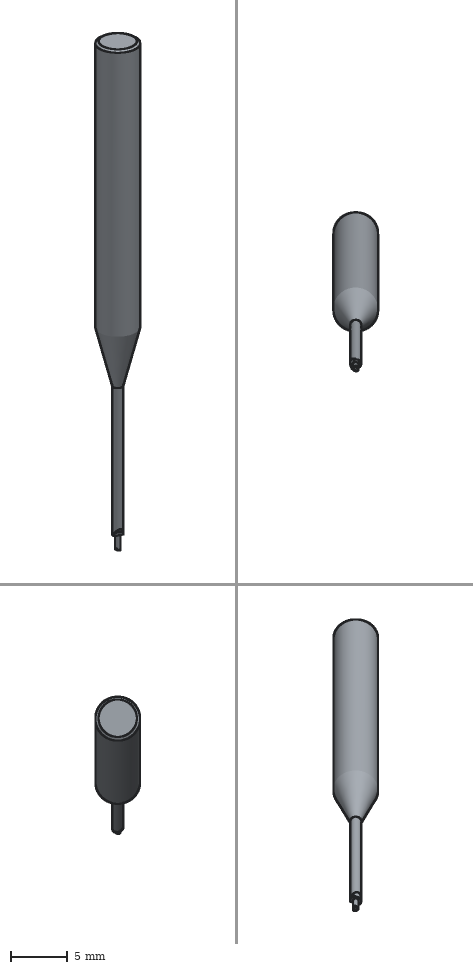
import cadquery as cq

overall_length = 50.0
shank_radius = 2.0
shank_chamfer = 0.3
shank_chamfer_height = 0.2
shank_bottom = 21.85
neck_top = 16.1
neck_radius = 0.5
neck_bottom = 1.5
tip_radius = 0.25
tip_edge_half_width = 0.125
tip_bevel_height = 0.2
relief_distance = 0.25
relief_flat_top = 1.8
relief_runout_top = 2.2
relief_angle = -20.0


def make_shank():
    """Chamfered cylindrical shank tapering down to the neck diameter."""
    return (
        cq.Workplane("XZ")
        .moveTo(0, neck_top)
        .lineTo(neck_radius, neck_top)
        .lineTo(shank_radius, shank_bottom)
        .lineTo(shank_radius, overall_length - shank_chamfer_height)
        .lineTo(shank_radius - shank_chamfer, overall_length)
        .lineTo(0, overall_length)
        .close()
        .revolve(360, (0, 0, 0), (0, 1, 0))
    )


def make_relief(angle):
    """Wedge-topped block that cuts one flat relief with a sloping runout."""
    return (
        cq.Workplane("XZ")
        .moveTo(relief_distance, neck_bottom)
        .lineTo(neck_radius, neck_bottom)
        .lineTo(neck_radius, relief_runout_top)
        .lineTo(relief_distance, relief_flat_top)
        .close()
        .extrude(neck_radius, both=True)
        .rotate((0, 0, 0), (0, 0, 1), angle)
    )


def make_tip_bevel(side):
    """Prism along X that slopes one Y side of the tip to the chisel edge."""
    return (
        cq.Workplane("YZ")
        .moveTo(side * tip_edge_half_width, 0)
        .lineTo(side * tip_radius, 0)
        .lineTo(side * tip_radius, tip_bevel_height)
        .close()
        .extrude(tip_radius, both=True)
    )


def make_cutter():
    """Slim neck with two opposite reliefs, ending in a chisel-edged round tip."""
    neck = cq.Workplane("XY").workplane(offset=neck_bottom).circle(neck_radius).extrude(neck_top - neck_bottom)
    for angle in (relief_angle, relief_angle + 180):
        neck = neck.cut(make_relief(angle))
    tip = cq.Workplane("XY").circle(tip_radius).extrude(neck_bottom)
    for side in (-1, 1):
        tip = tip.cut(make_tip_bevel(side))
    return neck.union(tip)


shank = make_shank()
cutter = make_cutter()
result = cq.Compound.makeCompound([shank.val(), cutter.val()])